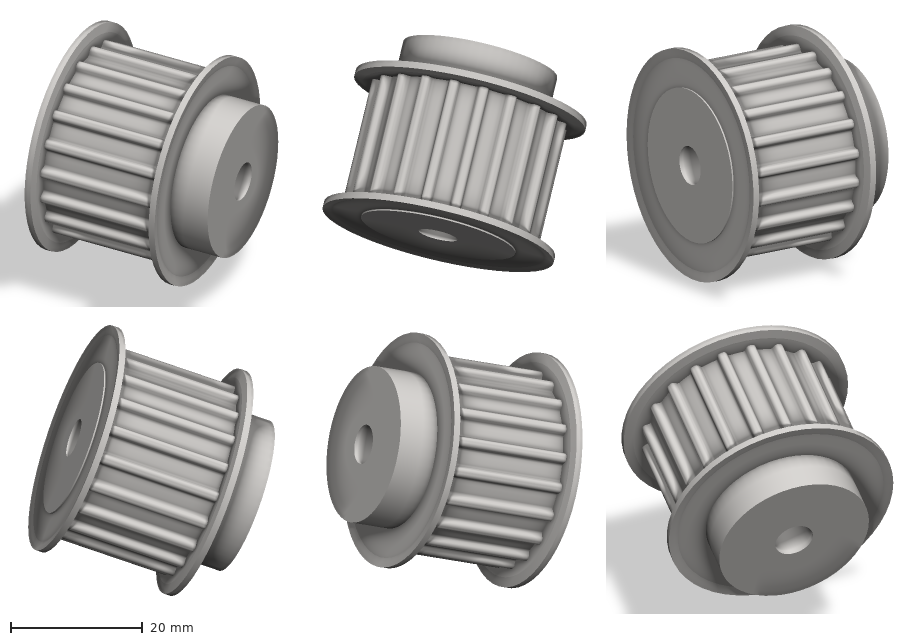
import cadquery as cq
import math


flange_diameter = 36.0
flat_diameter = 33.0
rim_thickness = 1.0
bend_depth = 0.25
flange_span = 22.0
hub_diameter = 24.0
bore_diameter = 6.0
overall_length = 28.0

tooth_count = 20
tip_diameter = 30.6
groove_depth = 1.2
groove_bottom_width = 2.52
flank_angle = 25.0
root_fillet = 0.4
tip_fillet = 0.6
cutter_clearance = 0.35

flange_thickness = rim_thickness + bend_depth
toothed_length = flange_span - 2 * flange_thickness
tip_radius = tip_diameter / 2
root_radius = tip_radius - groove_depth
pitch_angle = 360.0 / tooth_count


def flange(outer_x, inward):
    """Disc whose border bends outward; inward (+1 or -1) is the X direction to the teeth."""
    flange_radius = flange_diameter / 2
    flat_radius = flat_diameter / 2
    outer_flat_x = outer_x + inward * bend_depth
    rim_inner_x = outer_x + inward * rim_thickness
    inner_flat_x = outer_x + inward * flange_thickness
    outline = [
        (outer_flat_x, 0),
        (outer_flat_x, flat_radius),
        (outer_x, flange_radius),
        (rim_inner_x, flange_radius),
        (inner_flat_x, flat_radius),
        (inner_flat_x, 0),
    ]
    return cq.Workplane("XY").polyline(outline).close().revolve(360, (0, 0, 0), (1, 0, 0))


def groove_cutter():
    """Prism for the groove on the -Y side: round bottom and straight inclined flanks."""
    cutter_radius = tip_radius + cutter_clearance
    half_bottom = groove_bottom_width / 2
    corner_radius = math.sqrt(root_radius ** 2 - half_bottom ** 2)
    flank_height = cutter_radius - corner_radius
    half_mouth = half_bottom + flank_height * math.tan(math.radians(flank_angle))
    return (
        cq.Workplane("YZ", origin=(flange_thickness, 0, 0))
        .moveTo(-cutter_radius, -half_mouth)
        .lineTo(-corner_radius, -half_bottom)
        .threePointArc((-root_radius, 0), (-corner_radius, half_bottom))
        .lineTo(-cutter_radius, half_mouth)
        .close()
        .extrude(toothed_length)
    )


def fillet_edges_at(body, edge_radius, fillet_radius):
    """Fillet the axial edges that lie at edge_radius from the axis."""
    tolerance = 0.005
    edges = []
    for edge in body.edges("|X").vals():
        centre = edge.Center()
        if abs(math.hypot(centre.y, centre.z) - edge_radius) < tolerance:
            edges.append(edge)
    return body.newObject(edges).fillet(fillet_radius)


def toothed_body():
    """Cylinder between the flanges with evenly spaced grooves and rounded teeth."""
    body = (
        cq.Workplane("YZ", origin=(flange_thickness, 0, 0))
        .circle(tip_radius)
        .extrude(toothed_length)
    )
    cutter = groove_cutter()
    for index in range(tooth_count):
        body = body.cut(cutter.rotate((0, 0, 0), (1, 0, 0), index * pitch_angle))
    body = fillet_edges_at(body, root_radius, root_fillet)
    return fillet_edges_at(body, tip_radius, tip_fillet)


hub = cq.Workplane("YZ").circle(hub_diameter / 2).extrude(overall_length)
bore = cq.Workplane("YZ").circle(bore_diameter / 2).extrude(overall_length)

result = (
    toothed_body()
    .union(flange(0, 1))
    .union(flange(flange_span, -1))
    .union(hub)
    .cut(bore)
)